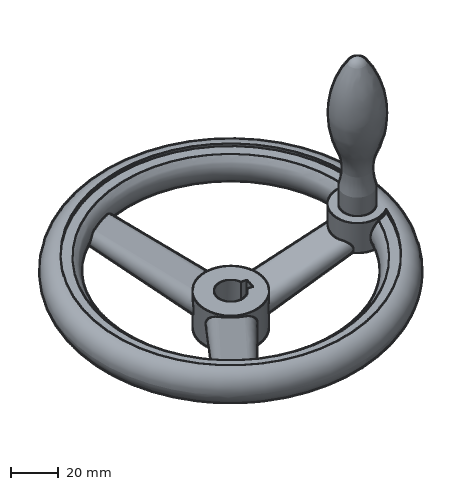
import cadquery as cq
import math

wheel_diameter = 160.0
rim_section_radius = 9.0
rim_center_z = 31.0
rim_step_depth = 1.5
rim_path_radius = wheel_diameter / 2 - rim_section_radius
rim_top_z = rim_center_z + rim_section_radius

hub_diameter = 32.0
hub_height = 20.0
bore_diameter = 14.0
keyway_width = 5.0
keyway_depth = 2.3

spoke_count = 3
spoke_pitch = 360 / spoke_count
spoke_flat_width = 11.0
spoke_root_thickness = 11.3
spoke_tip_thickness = 7.5
spoke_root_z = 8.4

handle_offset = 62.0
boss_diameter = 25.0
boss_height = 16.5
shank_radius = 8.0
shank_length = 10.0
neck_radius = 6.65
neck_height = 20.0
belly_radius = 12.5
belly_height = 50.0
handle_length = 80.0
tip_ball_radius = 5.0


def make_rim():
    ring = cq.Workplane("XZ").center(rim_path_radius, rim_center_z).circle(rim_section_radius)
    ring = ring.revolve(360, (-rim_path_radius, 0, 0), (-rim_path_radius, 1, 0))
    step = cq.Workplane("XY").workplane(offset=rim_top_z - rim_step_depth)
    step = step.circle(rim_path_radius).extrude(rim_step_depth)
    return ring.cut(step)


def make_hub():
    return cq.Workplane("XY").circle(hub_diameter / 2).extrude(hub_height)


def make_spoke():
    """One spoke in the +Y direction, lofted along its sloping center line."""
    rise = rim_center_z - spoke_root_z
    axis_length = math.hypot(rim_path_radius, rise)
    section_plane = cq.Plane(
        origin=(0, 0, spoke_root_z), xDir=(1, 0, 0), normal=(0, rim_path_radius, rise)
    )
    spoke = cq.Workplane(section_plane)
    spoke = spoke.slot2D(spoke_flat_width + spoke_root_thickness, spoke_root_thickness)
    spoke = spoke.workplane(offset=axis_length)
    spoke = spoke.slot2D(spoke_flat_width + spoke_tip_thickness, spoke_tip_thickness)
    return spoke.loft(ruled=True, combine=True)


def make_boss():
    """Upright boss, flush with the rim top and cut off at the wall of the rim step."""
    base = cq.Workplane("XY").workplane(offset=rim_top_z - boss_height)
    boss = base.center(0, handle_offset).circle(boss_diameter / 2).extrude(boss_height)
    return boss.intersect(base.circle(rim_path_radius).extrude(boss_height))


def make_handle():
    """Turned handle; heights are measured from the rim top, all arcs run tangent."""
    ball_center = handle_length - tip_ball_radius
    ball_rise = ball_center - belly_height
    belly_excess = belly_radius - tip_ball_radius
    belly_arc = tip_ball_radius + (belly_excess**2 + ball_rise**2) / (2 * belly_excess)
    belly_center = belly_radius - belly_arc

    belly_rise = belly_height - neck_height
    swell = belly_radius - neck_radius
    center_distance = (swell**2 + belly_rise**2) / (2 * swell)
    neck_arc = center_distance - belly_arc

    join_height = neck_height + belly_rise * neck_arc / center_distance
    join_drop = belly_height - join_height
    join_radius = belly_center + math.sqrt(belly_arc**2 - join_drop**2)
    ball_angle = math.atan2(ball_rise, -belly_center)
    mid_angle = (ball_angle + math.pi / 2) / 2

    def ball_point(angle):
        return (tip_ball_radius * math.cos(angle), ball_center + tip_ball_radius * math.sin(angle))

    profile = cq.Workplane("XZ").lineTo(0, handle_length)
    profile = profile.threePointArc(ball_point(mid_angle), ball_point(ball_angle))
    profile = profile.threePointArc((belly_radius, belly_height), (join_radius, join_height))
    profile = profile.tangentArcPoint((neck_radius, neck_height), relative=False)
    profile = profile.tangentArcPoint((shank_radius, shank_length), relative=False)
    profile = profile.lineTo(shank_radius, 0).close()
    handle = profile.revolve(360, (0, 0, 0), (0, 1, 0))
    return handle.translate((0, handle_offset, rim_top_z))


def make_bore():
    bore = cq.Workplane("XY").circle(bore_diameter / 2).extrude(hub_height)
    keyway_reach = bore_diameter / 2 + keyway_depth
    keyway = cq.Workplane("XY").center(0, keyway_reach / 2)
    keyway = keyway.rect(keyway_width, keyway_reach).extrude(hub_height)
    return bore.union(keyway)


wheel = make_rim()
wheel = wheel.union(make_hub())
for index in range(spoke_count):
    wheel = wheel.union(make_spoke().rotate((0, 0, 0), (0, 0, 1), index * spoke_pitch))
wheel = wheel.union(make_boss()).union(make_handle())
result = wheel.cut(make_bore())